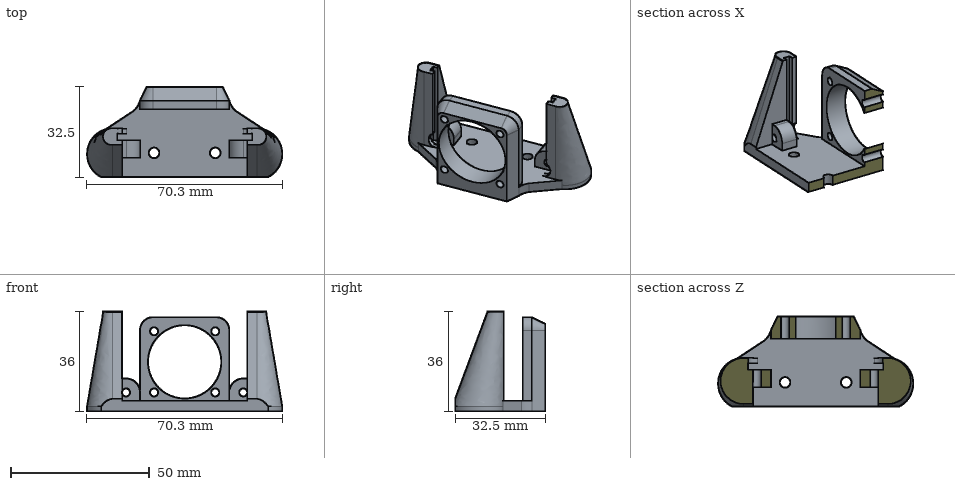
import cadquery as cq
import math

base_thickness = 3.9
pad_thickness = 1.9
mount_hole_diameter = 3.7
mount_hole_y = 8.7
shoulder_start = (-28.85, 16.95)
shoulder_end = (-18.5, 23.8)
shoulder_bend = (-17.1, 25.3)

overall_width = 70.3
tower_height = 36.0
tower_inner_x = -22.5
tower_round_x = -26.0
tower_back_y = 17.6
tower_foot_depth = 18.6
tower_tip_depth = 6.0
tower_tip_height = 0.3
tower_tip_outer_x = -29.4
slot_depth = 1.75
slot_front_y = 13.3
slot_back_y = 15.7

screw_hole_diameter = 2.8
ear_hole_x = -21.1
ear_radius = 5.05
ear_front_y = 6.95
foot_back_y = 17.4

fan_width = 32.2
fan_front_y = 24.3
fan_taper_y = 27.6
overall_depth = 32.5
fan_corner_radius = 4.7
fan_taper_inset = 2.4
fan_bore_diameter = 26.3
fan_hole_pitch = 22.0
fan_center_z = 17.85
lower_hole_z = fan_center_z - fan_hole_pitch / 2


def box(x_range, y_range, z_range):
    """Box spanning three (low, high) ranges."""
    corners = list(zip(x_range, y_range, z_range))
    sizes = [high - low for low, high in zip(*corners)]
    return cq.Workplane("XY").box(*sizes, centered=False).translate(corners[0])


def both_sides(shape):
    """The shape together with its mirror image across the YZ plane."""
    return shape.union(shape.mirror("YZ"))


def y_hole(diameter, x, z):
    """Cylinder along Y through the whole depth of the part."""
    return (
        cq.Workplane("XZ").center(x, z).circle(diameter / 2).extrude(-overall_depth)
    )


def tower_outline(workplane, depth, outer_x):
    """D-shaped section: flat inner side, round outer side."""
    front_y = tower_back_y - depth
    return (
        workplane.moveTo(tower_inner_x, front_y)
        .lineTo(tower_round_x, front_y)
        .threePointArc((outer_x, tower_back_y - depth / 2), (tower_round_x, tower_back_y))
        .lineTo(tower_inner_x, tower_back_y)
        .close()
    )


def make_tower():
    foot_outer_x = -overall_width / 2
    tip_z = tower_height - tower_tip_height
    pad = tower_outline(cq.Workplane("XY"), tower_foot_depth, foot_outer_x).extrude(pad_thickness)
    foot = tower_outline(
        cq.Workplane("XY").workplane(offset=pad_thickness), tower_foot_depth, foot_outer_x
    )
    column = tower_outline(
        foot.workplane(offset=tip_z - pad_thickness), tower_tip_depth, tower_tip_outer_x
    ).loft(ruled=True, combine=True)
    tip = tower_outline(
        cq.Workplane("XY").workplane(offset=tip_z), tower_tip_depth, tower_tip_outer_x
    ).extrude(tower_tip_height)
    keep = box((-overall_width, 0), (0, overall_depth), (0, tower_height))
    slot = box(
        (tower_inner_x - slot_depth, tower_inner_x),
        (slot_front_y, slot_back_y),
        (base_thickness, tower_height),
    )
    return pad.union(column).union(tip).intersect(keep).cut(slot)


def make_half_base():
    return (
        cq.Workplane("XY")
        .moveTo(0, 0)
        .lineTo(tower_round_x, 0)
        .lineTo(*shoulder_start)
        .lineTo(*shoulder_end)
        .threePointArc(shoulder_bend, (-fan_width / 2, fan_taper_y))
        .lineTo(0, fan_taper_y)
        .close()
        .extrude(base_thickness)
    )


def make_ear():
    ear_top_z = lower_hole_z + ear_radius
    ear_y = (ear_front_y, slot_front_y)
    tip = y_hole(2 * ear_radius, ear_hole_x, lower_hole_z)
    tip = tip.intersect(box((ear_hole_x, 0), ear_y, (0, ear_top_z)))
    root = box((tower_inner_x, ear_hole_x), ear_y, (0, ear_top_z))
    leg = box((tower_inner_x, ear_hole_x + ear_radius), ear_y, (0, lower_hole_z))
    return tip.union(root).union(leg)


def add_screw_clearance(tower):
    """Round channel through the lip behind the slot, resting on a small foot."""
    clearance_radius = lower_hole_z - base_thickness
    foot = box((tower_inner_x, ear_hole_x), (slot_back_y, foot_back_y), (0, lower_hole_z))
    channel = y_hole(2 * clearance_radius, ear_hole_x, lower_hole_z)
    behind_slot = box(
        (-overall_width, 0), (slot_back_y, overall_depth), (base_thickness, tower_height)
    )
    return tower.union(foot).cut(channel.intersect(behind_slot))


def fan_outline(workplane, inset):
    """Plate section with rounded upper corners, inset at the sides and top."""
    half_width = fan_width / 2 - inset
    top_z = fan_center_z + half_width
    radius = fan_corner_radius - inset
    diagonal = radius * (1 - math.sqrt(0.5))
    return (
        workplane.moveTo(-half_width, 0)
        .lineTo(-half_width, top_z - radius)
        .threePointArc((diagonal - half_width, top_z - diagonal), (radius - half_width, top_z))
        .lineTo(half_width - radius, top_z)
        .threePointArc((half_width - diagonal, top_z - diagonal), (half_width, top_z - radius))
        .lineTo(half_width, 0)
        .close()
    )


def make_fan_plate():
    front = fan_outline(cq.Workplane("XZ", origin=(0, fan_front_y, 0)), 0)
    plate = front.extrude(fan_front_y - fan_taper_y)
    rim = fan_outline(cq.Workplane("XZ", origin=(0, fan_taper_y, 0)), 0)
    rim = fan_outline(rim.workplane(offset=fan_taper_y - overall_depth), fan_taper_inset)
    return plate.union(rim.loft(ruled=True, combine=True))


tower = add_screw_clearance(make_tower())
result = both_sides(make_half_base().union(tower).union(make_ear()))
result = result.union(make_fan_plate())

result = result.cut(y_hole(fan_bore_diameter, 0, fan_center_z))
for side in (-1, 1):
    for hole_z in (lower_hole_z, lower_hole_z + fan_hole_pitch):
        result = result.cut(y_hole(screw_hole_diameter, side * fan_hole_pitch / 2, hole_z))
    result = result.cut(y_hole(screw_hole_diameter, side * ear_hole_x, lower_hole_z))

    mount_hole = (
        cq.Workplane("XY")
        .center(side * fan_hole_pitch / 2, mount_hole_y)
        .circle(mount_hole_diameter / 2)
        .extrude(base_thickness)
    )
    result = result.cut(mount_hole)